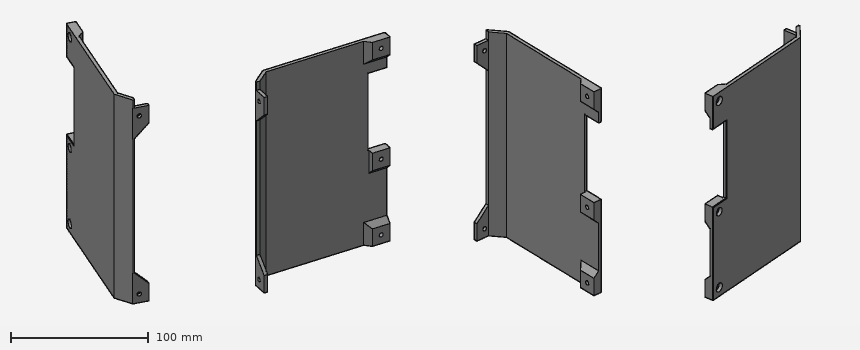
import cadquery as cq
import math

width = 115.0
depth = 22.5
height = 175.0
sheet = 3.0
edge_chamfer = 0.5

bend_x = 102.9
bend_angle = 40.0
lip_y = 11.4

notch_depth = 16.0
notch_top = height - 28.7
notch_bottom = height - 95.0

boss_size = 15.0
boss_y = 7.5
slope_run = boss_y - sheet

hole_inset = 7.5
hole_diameter = 3.3
corner_counterbore = 7.0
middle_counterbore = 6.5
counterbore_depth = 3.0

tab_length = 15.0
upper_tab_top = height - 7.2


def make_plate():
    """Flat plate with its bent lip, notched on the -X edge."""
    slope = math.tan(math.radians(bend_angle))
    inner_bend_x = bend_x - sheet * math.tan(math.radians(bend_angle / 2))
    inner_lip_x = inner_bend_x + (lip_y - sheet) / slope
    plate = (
        cq.Workplane("XY")
        .polyline([
            (0, 0),
            (bend_x, 0),
            (width, (width - bend_x) * slope),
            (width, lip_y),
            (inner_lip_x, lip_y),
            (inner_bend_x, sheet),
            (0, sheet),
        ])
        .close()
        .extrude(height)
    )
    notch = cq.Workplane("XY").box(
        notch_depth, sheet, notch_top - notch_bottom, centered=False
    )
    return plate.cut(notch.translate((0, 0, notch_bottom)))


def make_boss(edge_z, direction, side_run):
    """Boss growing from edge_z along Z (direction +1 or -1).

    Its Z flank slopes at 45 degrees; its +X flank widens by side_run down to the plate.
    """
    foot = boss_size + slope_run
    along_x = (
        cq.Workplane("XY")
        .polyline([
            (0, 0),
            (boss_size + side_run, 0),
            (boss_size + side_run, sheet),
            (boss_size, boss_y),
            (0, boss_y),
        ])
        .close()
        .extrude(direction * foot)
        .translate((0, 0, edge_z))
    )
    along_z = (
        cq.Workplane("YZ")
        .polyline([
            (0, edge_z),
            (boss_y, edge_z),
            (boss_y, edge_z + direction * boss_size),
            (sheet, edge_z + direction * foot),
            (0, edge_z + direction * foot),
        ])
        .close()
        .extrude(foot)
    )
    return along_x.intersect(along_z)


def make_screw_hole(z, counterbore_diameter):
    """Through hole along Y with a counterbore in the front face."""
    front = cq.Workplane("XZ", origin=(hole_inset, 0, z))
    hole = front.circle(hole_diameter / 2).extrude(-boss_y)
    return hole.union(front.circle(counterbore_diameter / 2).extrude(-counterbore_depth))


def make_tab(edge_z, direction):
    """Drilled tab growing from edge_z along Z, with a 45 degree flank down to the lip."""
    foot = tab_length + depth - lip_y
    root_y = lip_y - sheet / 2
    tab = (
        cq.Workplane("YZ", origin=(width - sheet, 0, 0))
        .polyline([
            (root_y, edge_z),
            (depth, edge_z),
            (depth, edge_z + direction * tab_length),
            (lip_y, edge_z + direction * foot),
            (root_y, edge_z + direction * foot),
        ])
        .close()
        .extrude(sheet)
    )
    hole = (
        cq.Workplane("YZ", origin=(width - sheet, depth - hole_inset, edge_z + direction * hole_inset))
        .circle(hole_diameter / 2)
        .extrude(sheet)
    )
    return tab.cut(hole)


body = make_plate()
for edge_z, direction, side_run in [
    (height, -1, slope_run),
    (notch_bottom, -1, 0),
    (0, 1, slope_run),
]:
    body = body.union(make_boss(edge_z, direction, side_run))

edge_reach = notch_depth + edge_chamfer
front_edges = cq.selectors.BoxSelector(
    (-edge_chamfer, -edge_chamfer, edge_chamfer),
    (edge_reach, edge_chamfer, height - edge_chamfer),
)
body = body.edges(front_edges).chamfer(edge_chamfer)

for edge_z, direction in [(upper_tab_top, -1), (0, 1)]:
    body = body.union(make_tab(edge_z, direction))

for z, counterbore in [
    (height - hole_inset, corner_counterbore),
    (notch_bottom - hole_inset, middle_counterbore),
    (hole_inset, corner_counterbore),
]:
    body = body.cut(make_screw_hole(z, counterbore))

result = body